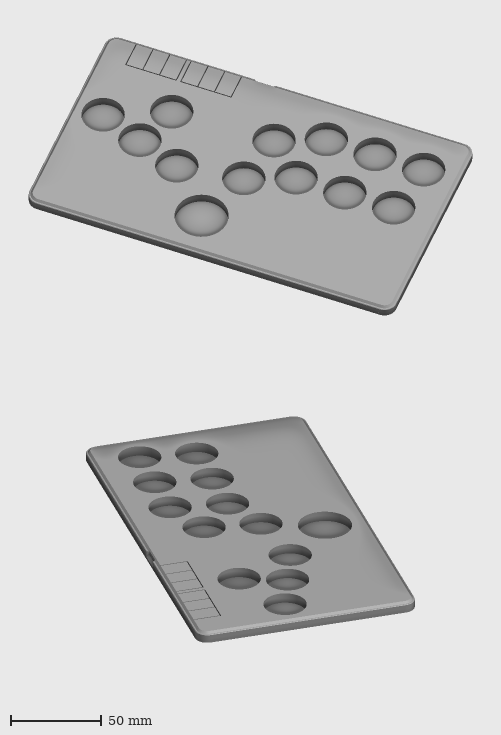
import cadquery as cq

case_length = 218.23
case_width = 126.89
overall_height = 7.2
foot_height = 1.0
case_height = overall_height - foot_height
base_thickness = 1.5
cover_height = case_height - base_thickness
corner_radius = 7.0

deck_height = 1.2
ledge_width = 1.0
ledge_z = case_height - deck_height
deck_bevel_angle = 45.0
rim_chamfer = 0.3

button_diameter = 24.0
button_centers = [
    (-90.9, 7.9), (-65.3, -1.4), (-39.6, -10.8), (-56.4, 23.9),
    (-1.8, -5.5), (24.9, 5.65), (53.9, 5.65), (83.0, 5.65),
    (3.8, 25.7), (30.4, 37.2), (59.4, 37.2), (88.4, 37.0),
]
thumb_diameter = 30.0
thumb_center = (-13.7, -38.9)
button_floor = 0.3

slit_width = 0.6
key_pitch = 10.0
keys_per_group = 3
key_length = 15.5
key_rear_y = case_width / 2 - ledge_width - deck_height
key_front_y = key_rear_y - key_length
key_group_starts = [-92.4, -59.7]

port_center_x = -16.3
port_width = 10.7
port_height = 2.6
port_depth = 1.5
port_side_flare = 0.75
port_center_z = base_thickness + port_depth + port_height / 2

foot_diameter = 6.0
foot_reach_x = 97.9
foot_rear_y = 53.3
foot_front_y = -52.8
foot_centers = [
    (-foot_reach_x, foot_rear_y), (foot_reach_x, foot_rear_y),
    (-foot_reach_x, foot_front_y), (foot_reach_x, foot_front_y),
    (-12.0, 12.6), (4.8, foot_rear_y),
]


def rounded_outline(inset):
    """Case outline moved inwards by the given distance."""
    outline = cq.Sketch().rect(case_length - 2 * inset, case_width - 2 * inset)
    return outline.vertices().fillet(corner_radius - inset)


def plane_at(height):
    return cq.Workplane("XY").workplane(offset=height)


def button_wells():
    """Cylinders that clear every button from its floor to the top of the case."""
    depth = case_height - button_floor
    buttons = plane_at(button_floor).pushPoints(button_centers).circle(button_diameter / 2).extrude(depth)
    thumb = plane_at(button_floor).center(*thumb_center).circle(thumb_diameter / 2).extrude(depth)
    return buttons.union(thumb)


def key_slits(start_x):
    """Comb of slits through the cover that frees one group of keys."""
    group_width = keys_per_group * key_pitch
    slits = (
        plane_at(base_thickness)
        .center(start_x + group_width / 2, key_front_y)
        .rect(group_width + slit_width, slit_width)
        .extrude(cover_height)
    )
    for index in range(keys_per_group + 1):
        side_slit = (
            plane_at(base_thickness)
            .center(start_x + index * key_pitch, key_front_y + key_length / 2)
            .rect(slit_width, key_length)
            .extrude(cover_height)
        )
        slits = slits.union(side_slit)
    return slits


def port_recess():
    """Recess that narrows from the rear face towards the inside."""
    return (
        cq.Workplane("XZ", origin=(port_center_x, case_width / 2, port_center_z))
        .rect(port_width + 2 * port_side_flare, port_height + 2 * port_depth)
        .workplane(offset=port_depth)
        .rect(port_width, port_height)
        .loft(combine=True)
    )


def make_cover():
    body = plane_at(base_thickness).placeSketch(rounded_outline(0)).extrude(ledge_z - base_thickness)
    body = body.faces(">Z").edges().chamfer(rim_chamfer)
    deck = (
        plane_at(ledge_z)
        .placeSketch(rounded_outline(ledge_width))
        .extrude(deck_height, taper=deck_bevel_angle)
    )
    body = body.union(deck).cut(button_wells())
    for start_x in key_group_starts:
        body = body.cut(key_slits(start_x))
    return body.cut(port_recess())


def make_base():
    plate = plane_at(0).placeSketch(rounded_outline(0)).extrude(base_thickness)
    feet = plane_at(-foot_height).pushPoints(foot_centers).circle(foot_diameter / 2).extrude(foot_height)
    return plate.cut(button_wells()).union(feet)


cover = make_cover()
base = make_base()

result = cq.Compound.makeCompound([cover.solids().val(), base.solids().val()])